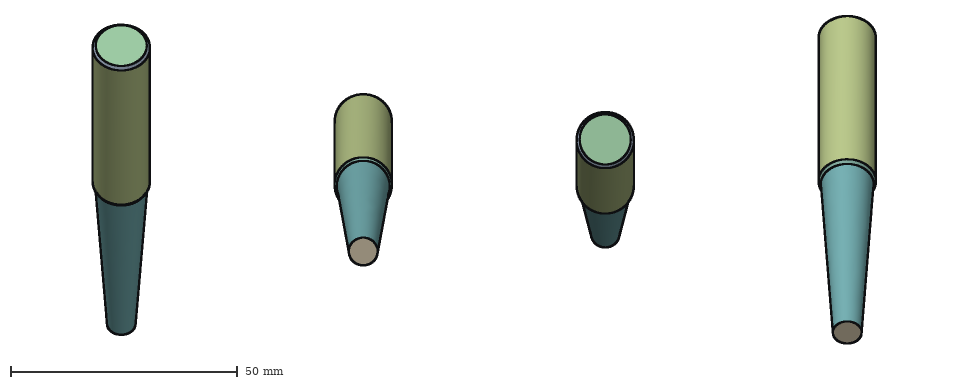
import cadquery as cq

total_length = 101.6
shank_diameter = 12.7
top_chamfer = 0.7
shoulder_chamfer_width = 0.5
shoulder_chamfer_height = 1.0
tip_diameter = 6.4
taper_length = total_length / 2

shank_radius = shank_diameter / 2
shoulder_radius = shank_radius - shoulder_chamfer_width
tip_radius = tip_diameter / 2


def make_shank():
    """Cylindrical shank, chamfered at its top and at its lower shoulder."""
    return (
        cq.Workplane("XZ")
        .moveTo(0, taper_length)
        .lineTo(shoulder_radius, taper_length)
        .lineTo(shank_radius, taper_length + shoulder_chamfer_height)
        .lineTo(shank_radius, total_length - top_chamfer)
        .lineTo(shank_radius - top_chamfer, total_length)
        .lineTo(0, total_length)
        .close()
        .revolve(360, (0, 0), (0, 1))
    )


def make_tapered_rod():
    """Cone frustum that meets the shank at the shoulder and narrows to the tip."""
    return (
        cq.Workplane("XZ")
        .lineTo(tip_radius, 0)
        .lineTo(shoulder_radius, taper_length)
        .lineTo(0, taper_length)
        .close()
        .revolve(360, (0, 0), (0, 1))
    )


shank = make_shank()
tapered_rod = make_tapered_rod()

result = cq.Compound.makeCompound([shank.val(), tapered_rod.val()])